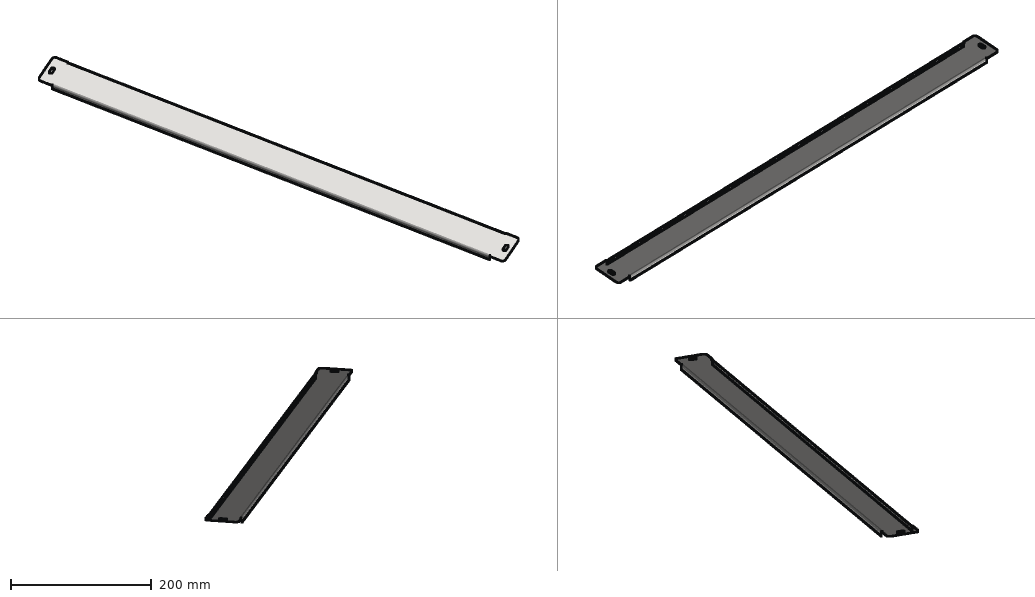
import cadquery as cq

length = 745.0
width = 49.0
height = 8.0

thickness = 1.0
bend_radius = 2.0
inner_bend_radius = bend_radius - thickness
flange_setback = 23.0
flange_length = length - 2 * flange_setback

corner_radius = 5.0
slot_length = 11.0
slot_width = 5.0
slot_spacing = 725.0


def make_plate():
    """Flat top sheet with rounded corners, its upper face at Z = 0."""
    plate = cq.Workplane("XY").box(length, width, thickness, centered=(True, True, False))
    return plate.edges("|Z").fillet(corner_radius).translate((0, 0, -thickness))


def make_channel():
    """Folded middle length: a U-section, open downward, with rounded bends."""
    outer = cq.Workplane("XY").box(flange_length, width, height, centered=(True, True, False))
    outer = outer.edges("|X and >Z").fillet(bend_radius)
    inner = cq.Workplane("XY").box(
        flange_length, width - 2 * thickness, height - thickness, centered=(True, True, False)
    )
    inner = inner.edges("|X and >Z").fillet(inner_bend_radius)
    return outer.cut(inner).translate((0, 0, -height))


def make_end_plates():
    """Flat plate ends that extend beyond the folded middle length."""
    middle = cq.Workplane("XY").box(flange_length, width, 2 * height)
    return make_plate().cut(middle)


def make_slots():
    """Mounting slots across the width, one near each end."""
    return (
        cq.Workplane("XY")
        .pushPoints([(-slot_spacing / 2, 0), (slot_spacing / 2, 0)])
        .slot2D(slot_length, slot_width, 90)
        .extrude(-height)
    )


result = make_channel().union(make_end_plates()).cut(make_slots())